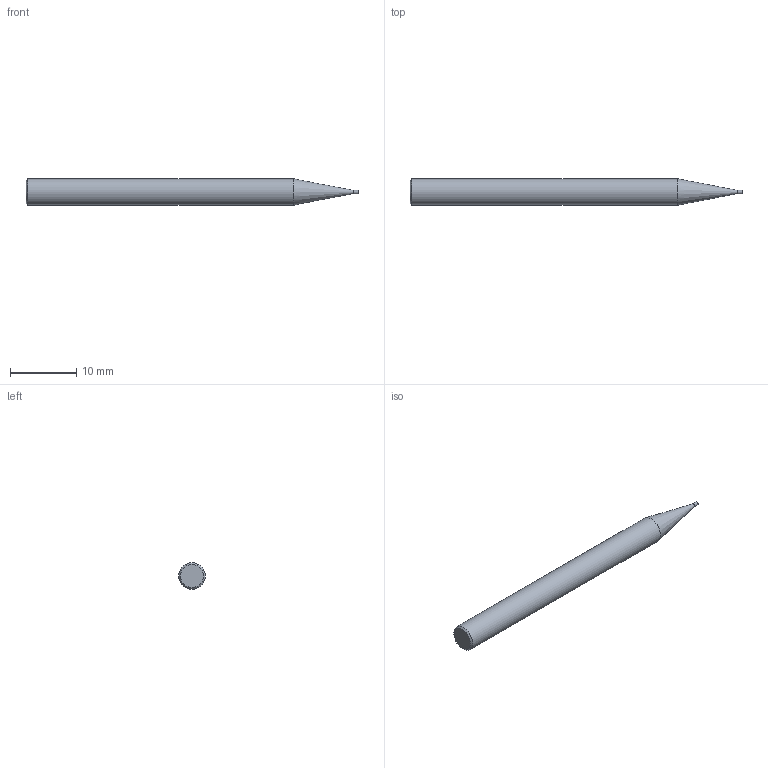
import cadquery as cq

total_length = 50.0
shank_diameter = 4.0
tip_diameter = 0.5
tip_length = 0.75
taper_length = 9.0
end_chamfer = 0.25

shank_radius = shank_diameter / 2
tip_radius = tip_diameter / 2
tip_start = total_length - tip_length
taper_start = tip_start - taper_length


def make_tool():
    """Revolve the half profile: chamfered shank, conical taper, cylindrical tip."""
    half_profile = (
        cq.Workplane("XY")
        .moveTo(0, 0)
        .lineTo(0, shank_radius - end_chamfer)
        .lineTo(end_chamfer, shank_radius)
        .lineTo(taper_start, shank_radius)
        .lineTo(tip_start, tip_radius)
        .lineTo(total_length, tip_radius)
        .lineTo(total_length, 0)
        .close()
    )
    return half_profile.revolve(360, (0, 0, 0), (1, 0, 0))


result = make_tool()